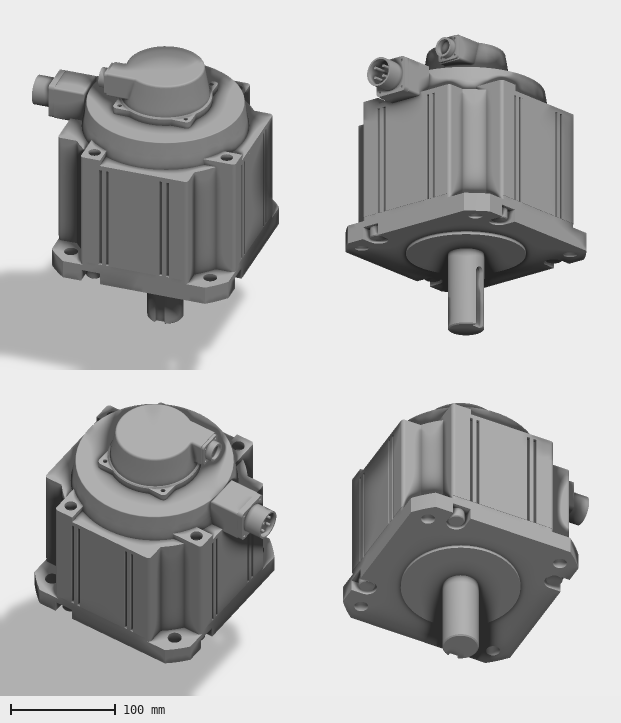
import cadquery as cq
import math


flange_corner_top = 18.0
flange_top = 22.0
stator_top = 128.0
cover_plate_top = 132.8
pad_top = 139.0
bell_top = 160.5
motor_top = 199.8

arm_half_width = 54.5
core_radius = 89.0
arm_corner_radius = 3.3
inner_corner_radius = 1.0
cover_width = 180.0
stator_width = 180.0
flange_width = 179.0

flange_corner_radius = 115.0
mounting_hole_offset = 70.5
mounting_hole_diameter = 13.5
pilot_diameter = 114.5
pilot_height = 3.0

bolt_side_offset = 44.0
bolt_reach = 77.8
bolt_head_diameter = 16.2
bolt_head_height = 10.0
bolt_head_chamfer = 0.8
bolt_shank_diameter = 10.0
bolt_shank_length = 28.0
bolt_pocket_width = 19.0
bolt_pocket_height = 12.0

groove_offsets = (27.0, 34.0)
groove_width = 3.3
groove_depth = 3.5

pad_width = 20.0
pad_hole_diameter = 12.0
bell_bottom_radius = 80.0
bell_top_radius = 75.5
bell_edge_radius = 0.8

power_axis_z = 146.5
power_box_width = 35.7
power_box_height = 34.0
power_box_bottom = 129.2
power_box_front = -106.5
power_box_back = -76.5
power_box_edge_radius = 2.0
power_plate_size = 35.2
power_plate_thickness = 5.9
power_plate_corner_radius = 3.5
power_screw_offset = 13.53
power_screw_hole_diameter = 2.8
power_shell_diameter = 28.7
power_shell_bore = 25.0
power_shell_end = -130.43
power_pin_offset = 5.0
power_pin_diameter = 2.8
power_pin_setback = 0.8

encoder_base_turn = -1.5
encoder_base_width = 79.2
encoder_base_corner_radius = 4.5
encoder_base_blend_radius = 4.5
encoder_tab_height = 7.0
encoder_disc_height = 8.0
encoder_disc_diameter = 89.8
encoder_disc_chamfer = 1.0
encoder_screw_offset = 33.9
encoder_screw_hole_diameter = 4.5
encoder_cone_bottom_radius = 42.7
encoder_cone_top_radius = 37.5
encoder_top_edge_radius = 2.2

signal_axis_y = -19.8
signal_box_width = 24.8
signal_box_height = 25.0
signal_box_front = -48.3
signal_box_edge_radius = 2.0
signal_box_root_radius = 1.0
signal_plate_size = 23.5
signal_plate_thickness = 2.8
signal_plate_corner_radius = 2.8
signal_screw_offset = 8.5
signal_screw_hole_diameter = 2.5
signal_shell_diameter = 19.3
signal_shell_bore = 15.0
signal_shell_length = 6.7

connector_screw_hole_depth = 1.7

shaft_diameter = 35.0
shaft_end = -79.2
shaft_end_chamfer = 1.0
keyway_width = 10.0
keyway_depth = 5.0
keyway_top = -19.3


def cylinder(diameter, z_bottom, z_top, x=0, y=0):
    """Upright cylinder between two heights."""
    return cq.Workplane("XY", origin=(x, y, z_bottom)).circle(diameter / 2).extrude(z_top - z_bottom)


def block(size_x, size_y, z_bottom, z_top):
    """Upright block centred on the shaft axis."""
    return cq.Workplane("XY", origin=(0, 0, z_bottom)).rect(size_x, size_y).extrude(z_top - z_bottom)


def quarter_turns(feature):
    """The feature and its three copies turned about the shaft axis, as a list."""
    return [feature.rotate((0, 0, 0), (0, 0, 1), 90 * turn) for turn in range(4)]


def cross_prism(width, z_bottom, z_top):
    """Cross with four rounded arms, its corners filled by a round core."""
    arm_width = 2 * arm_half_width
    arms_x = block(width, arm_width, z_bottom, z_top).edges("|Z").fillet(arm_corner_radius)
    arms_y = block(arm_width, width, z_bottom, z_top).edges("|Z").fillet(arm_corner_radius)
    prism = arms_x.union(arms_y).union(cylinder(2 * core_radius, z_bottom, z_top))

    def is_inner_corner(edge):
        center = edge.Center()
        return abs(math.hypot(center.x, center.y) - core_radius) < inner_corner_radius / 2

    return prism.edges("|Z").filter(is_inner_corner).fillet(inner_corner_radius)


def rod_toward_minus_x(diameter, x_start, x_end, y, z):
    """Cylinder lying along X that grows from x_start toward -X."""
    return cq.Workplane("YZ", origin=(x_start, y, z)).circle(diameter / 2).extrude(x_end - x_start)


def square_of_rods(diameter, x_start, x_end, y, z, offset):
    """Four equal rods along X at the corners of a square centred on (y, z)."""
    return (
        cq.Workplane("YZ", origin=(x_start, y, z))
        .rect(2 * offset, 2 * offset, forConstruction=True)
        .vertices()
        .circle(diameter / 2)
        .extrude(x_end - x_start)
    )


def connector_plate(size, thickness, corner_radius, x_back, y, z, screw_offset, screw_diameter):
    """Square connector plate with four blind screw holes in its -X face."""
    x_face = x_back - thickness
    plate = (
        cq.Workplane("YZ", origin=(x_face, y, z))
        .rect(size, size)
        .extrude(thickness)
        .edges("|X")
        .fillet(corner_radius)
    )
    holes = square_of_rods(screw_diameter, x_face, x_face + connector_screw_hole_depth, y, z, screw_offset)
    return plate.cut(holes)


def connector_shell(diameter, bore, x_plate, x_end, y, z):
    """Thin tube that stands on the connector plate."""
    tube = rod_toward_minus_x(diameter, x_plate, x_end, y, z)
    return tube.cut(rod_toward_minus_x(bore, x_plate, x_end, y, z))


def make_shaft():
    shaft = cylinder(shaft_diameter, shaft_end, flange_top).faces("<Z").chamfer(shaft_end_chamfer)
    keyway_center_z = keyway_top - keyway_width / 2
    keyway_plane = cq.Workplane("XZ", origin=(0, keyway_depth - shaft_diameter / 2, 0))
    round_end = keyway_plane.center(0, keyway_center_z).circle(keyway_width / 2).extrude(shaft_diameter)
    straight_length = keyway_center_z - shaft_end
    straight = (
        keyway_plane.center(0, keyway_center_z - straight_length / 2)
        .rect(keyway_width, straight_length)
        .extrude(shaft_diameter)
    )
    return shaft.cut(round_end).cut(straight)


def make_bolt():
    """Bolt near the end of the -Y arm."""
    head_bottom = bolt_pocket_height - bolt_head_height
    head = cylinder(bolt_head_diameter, head_bottom, bolt_pocket_height, -bolt_side_offset, -bolt_reach)
    head = head.faces("<Z").chamfer(bolt_head_chamfer)
    return head.union(make_bolt_hole())


def make_bolt_hole():
    """Space taken by the bolt shank."""
    shank_top = bolt_pocket_height + bolt_shank_length
    return cylinder(bolt_shank_diameter, bolt_pocket_height, shank_top, -bolt_side_offset, -bolt_reach)


def make_bolt_pocket():
    """Round-ended pocket for the bolt head, open below and toward -Y."""
    pocket = cylinder(bolt_pocket_width, 0, bolt_pocket_height, -bolt_side_offset, -bolt_reach)
    opening = block(bolt_pocket_width, bolt_pocket_width, 0, bolt_pocket_height)
    return pocket.union(opening.translate((-bolt_side_offset, -bolt_reach - bolt_pocket_width / 2, 0)))


def make_flange():
    base = block(flange_width, flange_width, 0, flange_corner_top)
    base = base.intersect(cylinder(2 * flange_corner_radius, 0, flange_corner_top))
    flange = base.union(cross_prism(flange_width, 0, flange_top))
    flange = flange.union(cylinder(pilot_diameter, -pilot_height, 0))
    flange = flange.cut(cylinder(shaft_diameter, -pilot_height, flange_top))
    mounting_hole = cylinder(
        mounting_hole_diameter, 0, flange_corner_top, mounting_hole_offset, mounting_hole_offset
    )
    for cutter in quarter_turns(mounting_hole):
        flange = flange.cut(cutter)
    for cutter in quarter_turns(make_bolt_pocket().union(make_bolt_hole())):
        flange = flange.cut(cutter)
    return flange


def make_stator():
    stator = cross_prism(stator_width, flange_top, stator_top)
    groove = block(groove_width, 2 * groove_depth, flange_top, stator_top)
    for offset in groove_offsets:
        for side in (-1, 1):
            face_groove = groove.translate((side * offset, -stator_width / 2, 0))
            for cutter in quarter_turns(face_groove):
                stator = stator.cut(cutter)
    for cutter in quarter_turns(make_bolt_hole()):
        stator = stator.cut(cutter)
    return stator


def make_pads():
    """Raised pads at the bolt positions, cut to the cross outline."""
    pad = block(pad_width, cover_width / 2, cover_plate_top, pad_top)
    pad = pad.translate((pad_width / 2 - arm_half_width, -cover_width / 4, 0))
    outline = cross_prism(cover_width, cover_plate_top, pad_top)
    return [turned.intersect(outline) for turned in quarter_turns(pad)]


def make_bell():
    bell = (
        cq.Workplane("XY", origin=(0, 0, cover_plate_top))
        .circle(bell_bottom_radius)
        .workplane(offset=bell_top - cover_plate_top)
        .circle(bell_top_radius)
        .loft()
    )
    return bell.faces(">Z").edges().fillet(bell_edge_radius)


def make_power_connector():
    plate_face = power_box_front - power_plate_thickness
    box = block(
        power_box_back - power_box_front,
        power_box_width,
        power_box_bottom,
        power_box_bottom + power_box_height,
    )
    box = box.edges("|X or (>X and >Z)").fillet(power_box_edge_radius)
    box = box.translate(((power_box_front + power_box_back) / 2, 0, 0))
    plate = connector_plate(
        power_plate_size,
        power_plate_thickness,
        power_plate_corner_radius,
        power_box_front,
        0,
        power_axis_z,
        power_screw_offset,
        power_screw_hole_diameter,
    )
    shell = connector_shell(
        power_shell_diameter, power_shell_bore, plate_face, power_shell_end, 0, power_axis_z
    )
    pins = square_of_rods(
        power_pin_diameter,
        plate_face,
        power_shell_end + power_pin_setback,
        0,
        power_axis_z,
        power_pin_offset,
    )
    return box.union(plate).union(shell).union(pins)


def make_rear_cover():
    cover = cross_prism(cover_width, stator_top, cover_plate_top)
    for pad in make_pads():
        cover = cover.union(pad)
    pad_hole = cylinder(pad_hole_diameter, stator_top, pad_top, -bolt_side_offset, -bolt_reach)
    for cutter in quarter_turns(pad_hole):
        cover = cover.cut(cutter)
    return cover.union(make_bell()).union(make_power_connector())


def make_encoder_base():
    """Disc with a slightly turned square of four screw tabs."""
    tab_top = bell_top + encoder_tab_height
    tabs = block(encoder_base_width, encoder_base_width, bell_top, tab_top)
    tabs = tabs.edges("|Z").fillet(encoder_base_corner_radius)
    tabs = tabs.union(cylinder(encoder_disc_diameter, bell_top, tab_top))
    disc_radius = encoder_disc_diameter / 2

    def is_tab_root(edge):
        center = edge.Center()
        half_width = encoder_base_width / 2
        on_square = abs(max(abs(center.x), abs(center.y)) - half_width) < 0.01
        return on_square and abs(math.hypot(center.x, center.y) - disc_radius) < 0.03

    tabs = tabs.edges("|Z").filter(is_tab_root).fillet(encoder_base_blend_radius)
    hole = cylinder(
        encoder_screw_hole_diameter, bell_top, tab_top, encoder_screw_offset, encoder_screw_offset
    )
    for cutter in quarter_turns(hole):
        tabs = tabs.cut(cutter)
    disc = cylinder(encoder_disc_diameter, bell_top, bell_top + encoder_disc_height)
    disc = disc.faces(">Z").chamfer(encoder_disc_chamfer)
    return tabs.union(disc).rotate((0, 0, 0), (0, 0, 1), encoder_base_turn)


def make_encoder_cap():
    """Cone joined to the signal connector box, with a blended root and a rounded top edge."""
    cone_bottom = bell_top + encoder_disc_height
    cone = (
        cq.Workplane("XY", origin=(0, 0, cone_bottom))
        .circle(encoder_cone_bottom_radius)
        .workplane(offset=motor_top - cone_bottom)
        .circle(encoder_cone_top_radius)
        .loft()
    )
    box = block(-signal_box_front, signal_box_width, motor_top - signal_box_height, motor_top)
    box = box.edges("|X and <Z").fillet(signal_box_edge_radius)
    box = box.translate((signal_box_front / 2, signal_axis_y, 0))

    def is_behind_box_front(edge):
        return edge.Center().x > signal_box_front + signal_box_edge_radius

    def is_root(edge):
        center = edge.Center()
        between_ends = cone_bottom < center.z < motor_top
        return edge.geomType() != "LINE" and between_ends and is_behind_box_front(edge)

    cap = cone.union(box)
    cap = cap.edges().filter(is_root).fillet(signal_box_root_radius)
    return cap.faces(">Z").edges().filter(is_behind_box_front).fillet(encoder_top_edge_radius)


def make_signal_connector():
    """Plate and shell on the front of the signal connector box."""
    axis_z = motor_top - signal_box_height / 2
    plate = connector_plate(
        signal_plate_size,
        signal_plate_thickness,
        signal_plate_corner_radius,
        signal_box_front,
        signal_axis_y,
        axis_z,
        signal_screw_offset,
        signal_screw_hole_diameter,
    )
    plate_face = signal_box_front - signal_plate_thickness
    shell_end = plate_face - signal_shell_length
    shell = connector_shell(
        signal_shell_diameter, signal_shell_bore, plate_face, shell_end, signal_axis_y, axis_z
    )
    return plate.union(shell)


def make_encoder():
    return make_encoder_base().union(make_encoder_cap()).union(make_signal_connector())


shaft = make_shaft()
flange = make_flange()
stator = make_stator()
rear_cover = make_rear_cover()
encoder = make_encoder()
bolts = quarter_turns(make_bolt())

result = cq.Compound.makeCompound(
    [
        shaft.val(),
        flange.val(),
        stator.val(),
        rear_cover.val(),
        encoder.val(),
        *[bolt.val() for bolt in bolts],
    ]
)